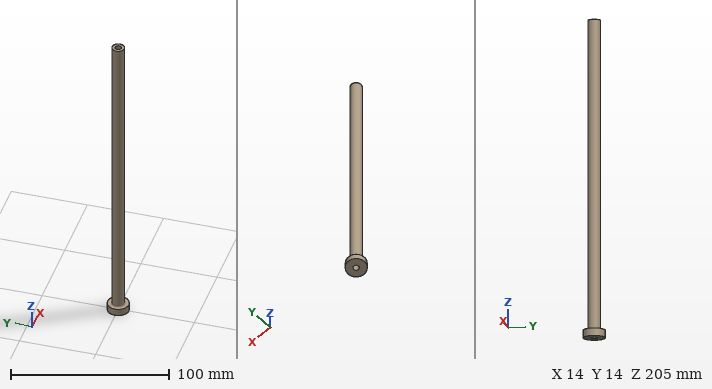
import cadquery as cq

total_length = 205.0
head_diameter = 14.0
head_height = 5.0
shaft_diameter = 8.0
bore_diameter = 3.9
root_fillet_radius = 0.5

head = cq.Workplane("XY").circle(head_diameter / 2).extrude(head_height)

shaft_length = total_length - head_height
body = head.faces(">Z").workplane().circle(shaft_diameter / 2).extrude(shaft_length)

root_edge = cq.selectors.RadiusNthSelector(0)
head_top = body.faces("<Z[1]")
body = head_top.edges(root_edge).fillet(root_fillet_radius)

bore = cq.Workplane("XY").circle(bore_diameter / 2).extrude(total_length)

result = body.cut(bore)